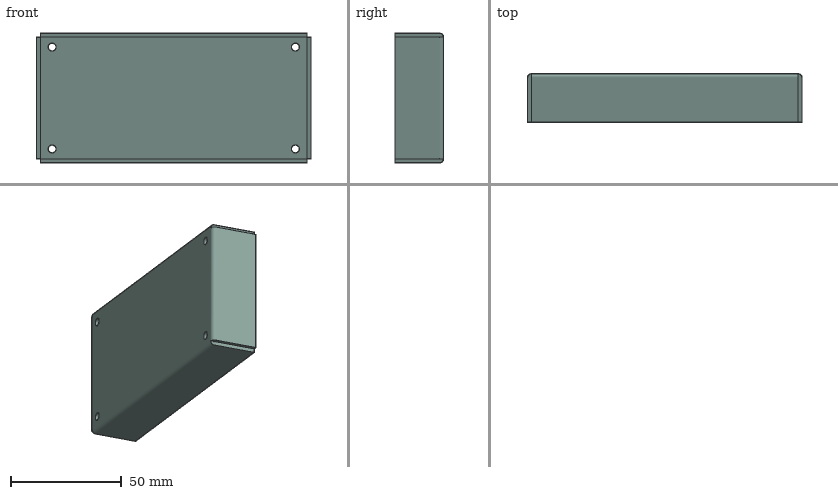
import cadquery as cq

length = 124.1
depth = 22.0
height = 58.6

sheet = 1.7
bend_radius = sheet

hole_diameter = 3.5
hole_pitch_x = 110.0
hole_pitch_z = 46.0

inner_length = length - 2 * sheet
inner_height = height - 2 * sheet


def make_channel(size_x, size_z, bend_edges):
    """Solid block with its two back edges rounded by the bends."""
    block = cq.Workplane("XY").box(size_x, depth, size_z)
    return block.faces(">Y").edges(bend_edges).fillet(bend_radius)


side_walls = make_channel(length, inner_height, "|Z")
top_bottom_walls = make_channel(inner_length, height, "|X")
body = side_walls.union(top_bottom_walls)

cavity = cq.Workplane("XY").box(inner_length, depth, inner_height).translate((0, -sheet, 0))
body = body.cut(cavity)

holes = (
    cq.Workplane("XZ")
    .rarray(hole_pitch_x, hole_pitch_z, 2, 2)
    .circle(hole_diameter / 2)
    .extrude(depth, both=True)
)

result = body.cut(holes)